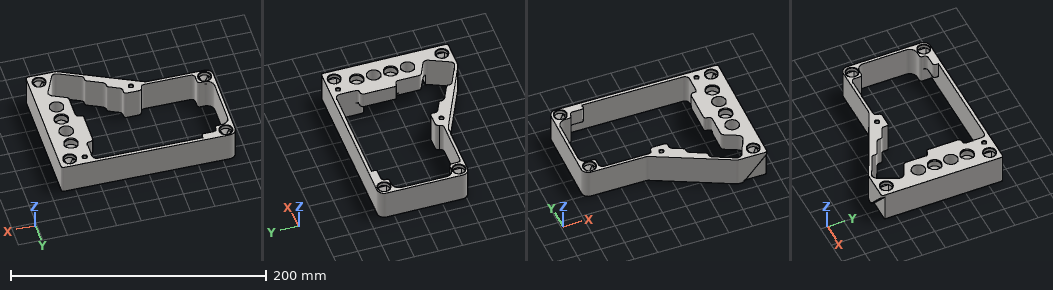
import cadquery as cq
import math

LENGTH = 143.0
DEPTH = 105.0
HEIGHT = 26.9
WALL = 2.6
BACK_WALL = 2.9
SHELF_THICKNESS = 14.0
BOTTOM_CHAMFER = 0.5

SLANT = math.radians(25)
SLANT_END_X = 117.9
STRAIGHT_FRONT_Y = 30.0
SLANT_START_X = SLANT_END_X - STRAIGHT_FRONT_Y / math.tan(SLANT)

OUTER_RADIUS = 6.0
RIGHT_RADIUS = 2.0
POST_WALL_RADIUS = 6.5
CAVITY_RADIUS = 4.0
LARGE_STEP_RADIUS = 3.0
STEP_RADIUS = 2.0

POST_X = 14.7
BACK_POST_Y = 92.2
FRONT_POST_Y = 42.5
LEDGE_X = 27.2
LEDGE_Y = 97.9
RIGHT_BLOCK_X = 116.3
SHELF_X = 110.6
SHELF_FRONT_Y = 52.9
SHELF_BACK_Y = 82.9
NOSE_LEFT_X = 58.5
NOSE_RIGHT_X = 73.3
NOSE_Y = 38.3
FIRST_STEP_X = 84.2
SECOND_STEP_X = 98.9
FIRST_STEP_THICKNESS = 10.5
SECOND_STEP_THICKNESS = 6.6
SLANT_BAY_WIDTH = 27.6
SLANT_BAY_END = 2.6

POCKET_ROOF_THICKNESS = 16.2
POCKET_RIGHT_X = 137.2
POCKET_FRONT_Y = 22.9
POCKET_BACK_Y = 77.6
POCKET_RADIUS = 3.0

SCREW_CENTRES = [(7.5, 98.6), (7.5, 36.7), (134.0, 97.0), (134.0, 8.0)]
SCREW_DIAMETER = 10.0
SCREW_RIM_DIAMETER = 10.9
SCREW_DEPTH = 3.5
VEE_WIDTH = 7.3
FLOOR_SLOPE = math.radians(60)

ROW_X = 128.4
ROW_BACK_Y = 80.3
ROW_PITCH = 14.0
ROW_DIAMETER = 11.3
BLIND_DIAMETER = 10.9
BLIND_RIM_DEPTH = 1.5
BLIND_DEPTH = 6.7
DRILL_TIP_ANGLE = math.radians(90)

PILOT_CENTRES = [(122.0, 97.9), (65.9, 31.5)]
PILOT_DIAMETER = 3.1
PILOT_RIM_DIAMETER = 4.0
PILOT_DEPTH = 8.6

RECESS_DEPTH = 2.6
RECESS_LEFT_X = 122.6
RECESS_TOP_Z = 24.6


def rounded_outline(corners):
    """Closed wire through (x, y, radius) corners; radius 0 keeps a corner sharp."""
    entries = []
    for i, (x, y, radius) in enumerate(corners):
        corner = cq.Vector(x, y)
        to_previous = (cq.Vector(*corners[i - 1][:2]) - corner).normalized()
        to_next = (cq.Vector(*corners[(i + 1) % len(corners)][:2]) - corner).normalized()
        half_angle = to_previous.getAngle(to_next) / 2
        setback = radius / math.tan(half_angle)
        bisector = (to_previous + to_next).normalized()
        to_arc = radius / math.sin(half_angle) - radius
        start = corner + to_previous * setback
        middle = corner + bisector * to_arc
        end = corner + to_next * setback
        entries.append((radius, start, middle, end))

    outline = cq.Workplane("XY").moveTo(*entries[0][3].toTuple()[:2])
    for radius, start, middle, end in entries[1:] + entries[:1]:
        outline = outline.lineTo(*start.toTuple()[:2])
        if radius > 0:
            outline = outline.threePointArc(middle.toTuple()[:2], end.toTuple()[:2])
    return outline.close()


def slant_y(x, thickness):
    """Y at x on the line parallel to the slanted face, that thickness inside it."""
    return (SLANT_END_X - x) * math.tan(SLANT) + thickness / math.cos(SLANT)


def bay_corner(thickness):
    """Corner at the end of the slanted bay, that thickness inside the slanted face."""
    x = SLANT_END_X + SLANT_BAY_END * math.cos(SLANT) + thickness * math.sin(SLANT)
    y = -SLANT_BAY_END * math.sin(SLANT) + thickness * math.cos(SLANT)
    return x, y


def box_between(x0, x1, y0, y1, height):
    """Box standing on the bottom plane."""
    return cq.Workplane("XY").box(x1 - x0, y1 - y0, height, centered=False).translate((x0, y0, 0))


def make_block():
    """Outer body with a chamfer around its bottom edge."""
    outline = rounded_outline([
        (0, DEPTH, OUTER_RADIUS),
        (0, STRAIGHT_FRONT_Y, OUTER_RADIUS),
        (SLANT_START_X, STRAIGHT_FRONT_Y, OUTER_RADIUS),
        (SLANT_END_X, 0, OUTER_RADIUS),
        (LENGTH, 0, RIGHT_RADIUS),
        (LENGTH, DEPTH, RIGHT_RADIUS),
    ])
    return outline.extrude(HEIGHT).faces("<Z").edges().chamfer(BOTTOM_CHAMFER)


def make_cavity():
    """Opening through the body, from the left wall around by the back."""
    back_y = DEPTH - BACK_WALL
    front_y = STRAIGHT_FRONT_Y + WALL
    return rounded_outline([
        (WALL, FRONT_POST_Y, POST_WALL_RADIUS),
        (WALL, BACK_POST_Y, POST_WALL_RADIUS),
        (POST_X, BACK_POST_Y, STEP_RADIUS),
        (POST_X, LEDGE_Y, LARGE_STEP_RADIUS),
        (LEDGE_X, LEDGE_Y, STEP_RADIUS),
        (LEDGE_X, back_y, 0),
        (RIGHT_BLOCK_X, back_y, CAVITY_RADIUS),
        (RIGHT_BLOCK_X, SHELF_BACK_Y, STEP_RADIUS),
        (SHELF_X, SHELF_BACK_Y, LARGE_STEP_RADIUS),
        (SHELF_X, SHELF_FRONT_Y, STEP_RADIUS),
        (RIGHT_BLOCK_X, SHELF_FRONT_Y, LARGE_STEP_RADIUS),
        (RIGHT_BLOCK_X, slant_y(RIGHT_BLOCK_X, SLANT_BAY_WIDTH), LARGE_STEP_RADIUS),
        (*bay_corner(SLANT_BAY_WIDTH), CAVITY_RADIUS),
        (*bay_corner(WALL), CAVITY_RADIUS),
        (SECOND_STEP_X, slant_y(SECOND_STEP_X, WALL), LARGE_STEP_RADIUS),
        (SECOND_STEP_X, slant_y(SECOND_STEP_X, SECOND_STEP_THICKNESS), STEP_RADIUS),
        (FIRST_STEP_X, slant_y(FIRST_STEP_X, SECOND_STEP_THICKNESS), CAVITY_RADIUS),
        (FIRST_STEP_X, slant_y(FIRST_STEP_X, FIRST_STEP_THICKNESS), STEP_RADIUS),
        (NOSE_RIGHT_X, slant_y(NOSE_RIGHT_X, FIRST_STEP_THICKNESS), LARGE_STEP_RADIUS),
        (NOSE_RIGHT_X, NOSE_Y, STEP_RADIUS),
        (NOSE_LEFT_X, NOSE_Y, LARGE_STEP_RADIUS),
        (NOSE_LEFT_X, front_y, LARGE_STEP_RADIUS),
        (POST_X, front_y, LARGE_STEP_RADIUS),
        (POST_X, FRONT_POST_Y, STEP_RADIUS),
    ]).extrude(HEIGHT)


def make_undercuts():
    """Space below the back ledge, the shelf and the right block."""
    shelf_underside = HEIGHT - SHELF_THICKNESS
    ledge = box_between(POST_X, LEDGE_X, LEDGE_Y - LARGE_STEP_RADIUS, DEPTH - BACK_WALL, shelf_underside)
    shelf = box_between(
        SHELF_X,
        RIGHT_BLOCK_X,
        SHELF_FRONT_Y - LARGE_STEP_RADIUS,
        SHELF_BACK_Y + LARGE_STEP_RADIUS,
        shelf_underside,
    )
    pocket = rounded_outline([
        (SHELF_X, POCKET_FRONT_Y, 0),
        (SHELF_X, POCKET_BACK_Y + 2 * POCKET_RADIUS, 0),
        (RIGHT_BLOCK_X, POCKET_BACK_Y + 2 * POCKET_RADIUS, 0),
        (RIGHT_BLOCK_X, POCKET_BACK_Y, POCKET_RADIUS),
        (POCKET_RIGHT_X, POCKET_BACK_Y, 0),
        (POCKET_RIGHT_X, POCKET_FRONT_Y, 0),
    ]).extrude(HEIGHT - POCKET_ROOF_THICKNESS)
    return ledge.union(shelf).union(pocket)


def revolved_hole(profile):
    """Solid of revolution about Z from (radius, depth below the top face) points."""
    points = [(radius, HEIGHT - depth) for radius, depth in profile]
    return cq.Workplane("XZ").polyline(points).close().revolve(360, (0, 0), (0, 1))


def make_screw_recess():
    """Rimmed bore whose floor has a V groove limited by a cone of the same slope."""
    radius = SCREW_DIAMETER / 2
    rim_radius = SCREW_RIM_DIAMETER / 2
    bore = revolved_hole([
        (0, 0),
        (rim_radius, 0),
        (radius, rim_radius - radius),
        (radius, SCREW_DEPTH),
        (0, SCREW_DEPTH),
    ])
    cone_tip = SCREW_DEPTH + radius * math.tan(FLOOR_SLOPE)
    cone = revolved_hole([(0, SCREW_DEPTH), (radius, SCREW_DEPTH), (0, cone_tip)])
    floor_z = HEIGHT - SCREW_DEPTH
    groove_depth = VEE_WIDTH / 2 * math.tan(FLOOR_SLOPE)
    groove = (
        cq.Workplane("XZ")
        .polyline([(-VEE_WIDTH / 2, floor_z), (VEE_WIDTH / 2, floor_z), (0, floor_z - groove_depth)])
        .close()
        .extrude(radius, both=True)
    )
    return bore.union(cone.intersect(groove))


def make_blind_hole():
    """Bore with a slightly wider mouth and a conical end."""
    radius = BLIND_DIAMETER / 2
    mouth_radius = ROW_DIAMETER / 2
    tip = radius / math.tan(DRILL_TIP_ANGLE / 2)
    return revolved_hole([
        (0, 0),
        (mouth_radius, 0),
        (mouth_radius, BLIND_RIM_DEPTH),
        (radius, BLIND_RIM_DEPTH),
        (radius, BLIND_DEPTH),
        (0, BLIND_DEPTH + tip),
    ])


def make_through_hole():
    return cq.Workplane("XY").circle(ROW_DIAMETER / 2).extrude(HEIGHT)


def make_pilot_hole():
    """Small blind hole with a chamfered rim and a conical end."""
    radius = PILOT_DIAMETER / 2
    rim_radius = PILOT_RIM_DIAMETER / 2
    tip = radius / math.tan(DRILL_TIP_ANGLE / 2)
    return revolved_hole([
        (0, 0),
        (rim_radius, 0),
        (radius, rim_radius - radius),
        (radius, PILOT_DEPTH),
        (0, PILOT_DEPTH + tip),
    ])


def make_front_recess():
    """Triangular cut into the front face, with a bevel along its sloping edge."""
    corners = [(RECESS_LEFT_X, 0), (LENGTH, 0), (LENGTH, RECESS_TOP_Z)]
    recess = cq.Workplane("XZ").polyline(corners).close().extrude(-RECESS_DEPTH)

    slope = math.atan2(RECESS_TOP_Z, LENGTH - RECESS_LEFT_X)
    run = BOTTOM_CHAMFER / math.sin(slope)
    rise = BOTTOM_CHAMFER / math.cos(slope)
    wide = [(RECESS_LEFT_X - run, 0), (LENGTH, 0), (LENGTH, RECESS_TOP_Z + rise)]
    bevel = (
        cq.Workplane("XZ")
        .polyline(wide)
        .close()
        .workplane(offset=-BOTTOM_CHAMFER)
        .polyline(corners)
        .close()
        .loft(ruled=True)
    )
    return recess.union(bevel)


result = make_block().cut(make_cavity()).cut(make_undercuts()).cut(make_front_recess())

for x, y in SCREW_CENTRES:
    result = result.cut(make_screw_recess().translate((x, y, 0)))

for x, y in PILOT_CENTRES:
    result = result.cut(make_pilot_hole().translate((x, y, 0)))

for i, make_hole in enumerate([make_blind_hole, make_through_hole] * 2):
    result = result.cut(make_hole().translate((ROW_X, ROW_BACK_Y - i * ROW_PITCH, 0)))